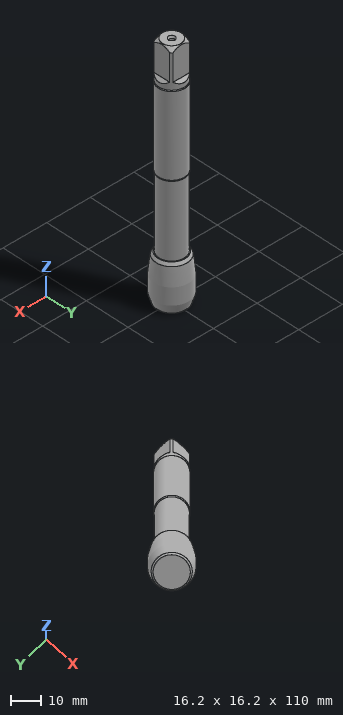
import cadquery as cq

total_height = 110.0
head_height = 21.5

head_radius = 16.2 / 2
nose_tip_radius = 6.2
nose_bulge_radius = 7.5
nose_bevel_radius = 6.8
nose_bevel_height = 0.4
nose_bulge_z = 2.3
band_bottom_z = 4.5
band_top_z = 12.1
taper_mid_radius = 7.7
taper_mid_z = 16.2
shoulder_radius = 7.2
ledge_radius = 6.3
shoulder_z = 20.1

neck_radius = 11.7 / 2
grip_radius = 12.2 / 2
grip_bottom_z = 55.0
grip_top_z = 92.7
grip_bottom_rise = 0.3
grip_top_rise = 0.4
drive_radius = 11.9 / 2
drive_tip_chamfer = 1.6

square_width = 9.1
flat_bottom_z = 96.0
flat_runout = drive_radius - square_width / 2
runout_drop = 1.3

center_hole_diameter = 2.0
center_hole_depth = 3.3
countersink_diameter = 3.0
countersink_depth = 0.9
center_hole_tip_depth = 0.5


def make_head():
    """Revolved head with a flat upper face that carries the rod and leaves a narrow ledge around it."""
    return (
        cq.Workplane("XZ")
        .lineTo(nose_tip_radius, 0)
        .lineTo(nose_bevel_radius, nose_bevel_height)
        .threePointArc((nose_bulge_radius, nose_bulge_z), (head_radius, band_bottom_z))
        .lineTo(head_radius, band_top_z)
        .threePointArc((taper_mid_radius, taper_mid_z), (shoulder_radius, shoulder_z))
        .lineTo(ledge_radius, head_height)
        .lineTo(0, head_height)
        .close()
        .revolve(360, (0, 0), (0, 1))
    )


def make_round_rod():
    """Neck, grip and round drive end before the square is cut."""
    return (
        cq.Workplane("XZ")
        .moveTo(0, head_height)
        .lineTo(neck_radius, head_height)
        .lineTo(neck_radius, grip_bottom_z - grip_bottom_rise)
        .lineTo(grip_radius, grip_bottom_z + grip_bottom_rise)
        .lineTo(grip_radius, grip_top_z - grip_top_rise)
        .lineTo(drive_radius, grip_top_z)
        .lineTo(drive_radius, total_height - drive_tip_chamfer)
        .lineTo(drive_radius - drive_tip_chamfer, total_height)
        .lineTo(0, total_height)
        .close()
        .revolve(360, (0, 0), (0, 1))
    )


def make_flat_cutter():
    """Wedge-bottomed block that cuts the flat on the +X side."""
    flat_x = square_width / 2
    outer_x = flat_x + 2 * flat_runout
    return (
        cq.Workplane("XZ")
        .moveTo(flat_x, total_height)
        .lineTo(flat_x, flat_bottom_z)
        .lineTo(outer_x, flat_bottom_z - 2 * runout_drop)
        .lineTo(outer_x, total_height)
        .close()
        .extrude(drive_radius, both=True)
    )


def make_center_drill():
    """Countersunk drill shape with a conical tip, pointing down from the drive end."""
    hole_radius = center_hole_diameter / 2
    hole_bottom_z = total_height - center_hole_depth
    return (
        cq.Workplane("XZ")
        .moveTo(0, total_height)
        .lineTo(countersink_diameter / 2, total_height)
        .lineTo(hole_radius, total_height - countersink_depth)
        .lineTo(hole_radius, hole_bottom_z)
        .lineTo(0, hole_bottom_z - center_hole_tip_depth)
        .close()
        .revolve(360, (0, 0), (0, 1))
    )


def make_rod():
    rod = make_round_rod()
    for side in range(4):
        rod = rod.cut(make_flat_cutter().rotate((0, 0, 0), (0, 0, 1), 90 * side))
    return rod.cut(make_center_drill())


head = make_head()
rod = make_rod()

result = cq.Compound.makeCompound([head.val(), rod.val()])